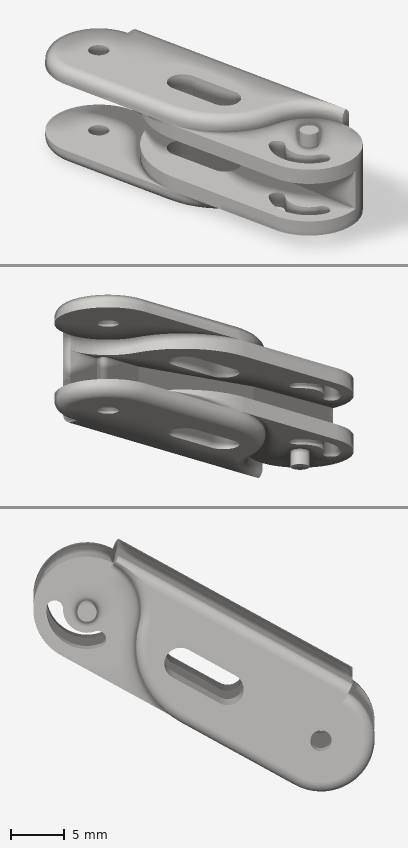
import cadquery as cq
import math

lobe_radius = 5.0
pitch = 25.0
half_height = 5.0
wall_thickness = 0.98
plate_thickness = 1.5
inner_gap = 4.0
edge_round = 1.0
wall_round = wall_thickness
bend_run = 12.85

hinge_hole_diameter = 2.0
pin_diameter = 1.8
slot_length = 8.0
slot_width = 3.0
slot_center_x = pitch / 2

arc_slot_radius = 3.0
arc_slot_width = 1.55
arc_slot_start = -139
arc_slot_end = -28

web_start_x = 3.45
web_corner_y = 4.13
web_corner_round = 0.55
web_ramp_start_x = 8.0
web_ramp_end_x = 20.02
web_ramp_end_y = 1.1
web_tip_y = 0.65

wall_outer_y = lobe_radius + wall_thickness
half_gap = inner_gap / 2
plate_split_z = half_height - plate_thickness

bend_radius = bend_run**2 / (4 * lobe_radius)
bend_angle = math.atan2(bend_radius - lobe_radius, bend_run)
inflection_x = lobe_radius * math.cos(bend_angle)
inflection_y = lobe_radius * math.sin(bend_angle)


middle_turn = (math.pi / 2 + bend_angle) / 2
lobe_middle_x = lobe_radius * math.cos(middle_turn)
lobe_middle_y = lobe_radius * math.sin(middle_turn)
bend_middle_x = bend_run - bend_radius * math.cos(middle_turn)
bend_middle_y = bend_radius - lobe_radius - bend_radius * math.sin(middle_turn)


def cylinder(x, diameter, bottom, top):
    return cq.Workplane("XY", origin=(x, 0, bottom)).circle(diameter / 2).extrude(top - bottom)


def make_outer_plate():
    """Upper cover plate: rounded first lobe, and an S-bend around the second lobe."""
    beyond_wall_y = wall_outer_y + 2 * edge_round
    body = (
        cq.Workplane("XY", origin=(0, 0, plate_split_z))
        .moveTo(0, -lobe_radius)
        .lineTo(pitch - bend_run, -lobe_radius)
        .threePointArc((pitch - bend_middle_x, bend_middle_y), (pitch - inflection_x, inflection_y))
        .threePointArc((pitch - lobe_middle_x, lobe_middle_y), (pitch, lobe_radius))
        .lineTo(pitch, beyond_wall_y)
        .lineTo(0, beyond_wall_y)
        .close()
        .extrude(plate_thickness)
    )
    body = body.faces(">Z").edges("<Y").fillet(edge_round)

    envelope = (
        cq.Workplane("XY")
        .box(pitch, wall_outer_y + lobe_radius, 2 * half_height, centered=(False, False, True))
        .translate((0, -lobe_radius, 0))
        .edges("|X and >Y")
        .fillet(wall_round)
    )
    lobe = cylinder(0, 2 * lobe_radius, plate_split_z, half_height).faces(">Z").edges().fillet(edge_round)
    lobe_half = (
        cq.Workplane("XY", origin=(-lobe_radius, 0, plate_split_z))
        .rect(2 * lobe_radius, 2 * lobe_radius)
        .extrude(plate_thickness)
    )
    hole = cylinder(0, hinge_hole_diameter, plate_split_z, half_height)
    return body.intersect(envelope).union(lobe.intersect(lobe_half)).cut(hole)


def make_curved_slot():
    """Constant-width arc slot with round ends, centred on the second lobe."""
    def point(radius, degrees):
        angle = math.radians(degrees)
        return (radius * math.cos(angle), radius * math.sin(angle))

    inner = arc_slot_radius - arc_slot_width / 2
    outer = arc_slot_radius + arc_slot_width / 2
    middle = (arc_slot_start + arc_slot_end) / 2
    cap_turn = math.degrees(arc_slot_width / 2 / arc_slot_radius)
    return (
        cq.Workplane("XY", origin=(pitch, 0, half_gap))
        .moveTo(*point(outer, arc_slot_start))
        .threePointArc(point(outer, middle), point(outer, arc_slot_end))
        .threePointArc(point(arc_slot_radius, arc_slot_end + cap_turn), point(inner, arc_slot_end))
        .threePointArc(point(inner, middle), point(inner, arc_slot_start))
        .threePointArc(point(arc_slot_radius, arc_slot_start - cap_turn), point(outer, arc_slot_start))
        .close()
        .extrude(plate_split_z - half_gap)
    )


def make_inner_plate():
    """Upper inner plate: S-bend around the first lobe, full round second lobe, and a pin on top."""
    plate = (
        cq.Workplane("XY", origin=(0, 0, half_gap))
        .moveTo(0, lobe_radius)
        .threePointArc((lobe_middle_x, lobe_middle_y), (inflection_x, inflection_y))
        .threePointArc((bend_middle_x, bend_middle_y), (bend_run, -lobe_radius))
        .lineTo(pitch, -lobe_radius)
        .threePointArc((pitch + lobe_radius, 0), (pitch, lobe_radius))
        .close()
        .extrude(plate_split_z - half_gap)
    )
    pin = cylinder(pitch, pin_diameter, plate_split_z, half_height)
    return plate.cut(make_curved_slot()).union(pin)


def make_wall():
    """Back wall between the cover plates, which carry its rounded edges."""
    return (
        cq.Workplane("XY")
        .box(pitch, wall_thickness, 2 * plate_split_z, centered=(False, False, True))
        .translate((0, lobe_radius, 0))
    )


def make_web():
    """Filling between the inner plates, ramped at the front and ending on the second lobe."""
    tip_x = pitch + math.sqrt(lobe_radius**2 - web_tip_y**2)
    tip_turn = (math.pi / 2 + math.asin(web_tip_y / lobe_radius)) / 2
    lobe_side = (pitch + lobe_radius * math.cos(tip_turn), lobe_radius * math.sin(tip_turn))
    return (
        cq.Workplane("XY", origin=(0, 0, -half_gap))
        .moveTo(web_start_x, lobe_radius)
        .lineTo(web_start_x, web_corner_y + web_corner_round)
        .radiusArc((web_start_x + web_corner_round, web_corner_y), -web_corner_round)
        .lineTo(web_ramp_start_x, web_corner_y)
        .lineTo(web_ramp_end_x, web_ramp_end_y)
        .lineTo(tip_x, web_tip_y)
        .threePointArc(lobe_side, (pitch, lobe_radius))
        .close()
        .extrude(inner_gap)
    )


long_slot = (
    cq.Workplane("XY", origin=(slot_center_x, 0, half_gap))
    .slot2D(slot_length, slot_width)
    .extrude(half_height - half_gap)
)
upper_plates = make_outer_plate().union(make_inner_plate()).cut(long_slot)
lower_plates = upper_plates.mirror("XY")

result = make_wall().union(make_web()).union(upper_plates).union(lower_plates)